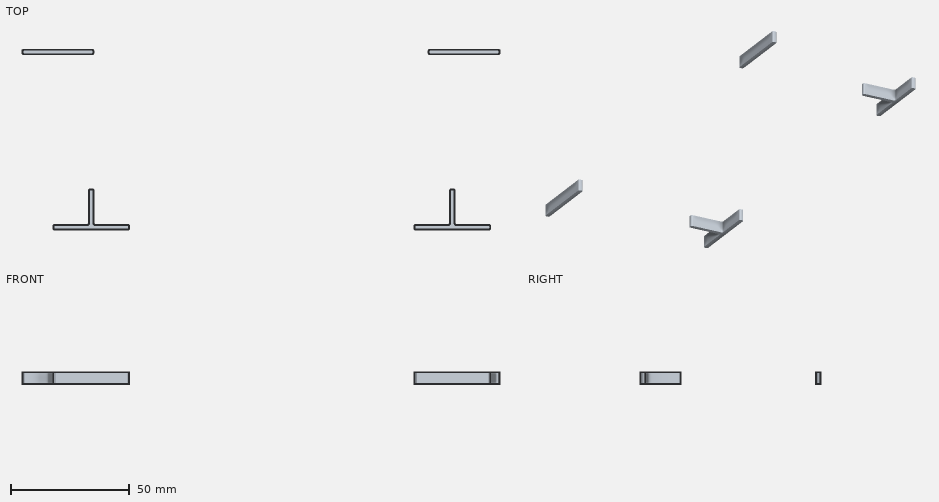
import cadquery as cq

overall_length = 201.1
overall_depth = 75.83
height = 5.0
thickness = 2.0
edge_radius = 0.7

bar_length = 30.0
bar_spacing = overall_length - bar_length
bar_y = (overall_depth - thickness) / 2

flange_length = 32.0
tee_depth = 17.0
tee_spacing = 152.1
tee_middle_x = 4.55
tee_front_y = -overall_depth / 2


def upright_strip(length_x, length_y):
    """Strip of the full height, centred on the origin."""
    return cq.Workplane("XY").box(length_x, length_y, height)


def straight_bar(center_x):
    """Straight strip along X with its upright edges rounded."""
    bar = upright_strip(bar_length, thickness).edges("|Z").fillet(edge_radius)
    return bar.translate((center_x, bar_y, 0))


def tee_bar(center_x):
    """Flange along X with a stem running back from its middle, upright edges and inner corners rounded."""
    flange = upright_strip(flange_length, thickness).translate((0, thickness / 2, 0))
    stem = upright_strip(thickness, tee_depth).translate((0, tee_depth / 2, 0))
    tee = flange.union(stem).edges("|Z").fillet(edge_radius)
    return tee.translate((center_x, tee_front_y, 0))


straight_bars = []
tee_bars = []
for side in (-1, 1):
    straight_bars.append(straight_bar(side * bar_spacing / 2).val())
    tee_bars.append(tee_bar(tee_middle_x + side * tee_spacing / 2).val())

result = cq.Compound.makeCompound([*straight_bars, *tee_bars])